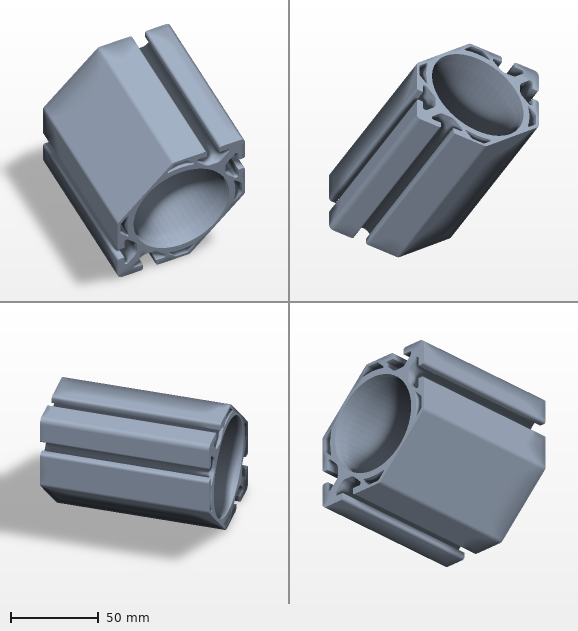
import cadquery as cq
import math

LENGTH = 100.0
SIDE = 80.0
BORE_DIAMETER = 60.0
FLAT_DISTANCE = 32.0
CORNER_RADIUS = 3.0

SLOT_OFFSET = 20.0
SIDE_SLOT_OFFSET = 20.5
SLOT_OPENING = 8.0
SLOT_INNER_WIDTH = 20.0
SLOT_FLOOR_WIDTH = 8.0
SLOT_DEPTH = 12.25
LIP_THICKNESS = 4.2
LIP_RADIUS = 1.5
SLOT_CORNER_RADIUS = 1.0
SLOT_FLOOR_RADIUS = 4.5

BORE_WALL = 3.9
OUTER_WALL = 1.8
FLAT_WALL = 2.1
WEB_DISTANCE = 29.6
CHAMBER_CORNER_RADIUS = 2.0
CHAMBER_TIP_RADIUS = 0.5

PICK_SIZE = 0.1
HALF = SIDE / 2

SLOT_PLACES = (
    (0, SLOT_OFFSET),
    (180, SLOT_OFFSET),
    (-90, -SLOT_OFFSET),
    (90, -SIDE_SLOT_OFFSET),
)


def extrude_profile(sketch):
    """Extrude a closed YZ outline over the full length, centred on X."""
    return sketch.extrude(LENGTH / 2, both=True)


def make_body():
    """Square bar with two opposite edges cut by 45 degree flats, bored through."""
    flat_end = FLAT_DISTANCE * math.sqrt(2) - HALF
    outline = [
        (HALF, HALF),
        (-flat_end, HALF),
        (-HALF, flat_end),
        (-HALF, -HALF),
        (flat_end, -HALF),
        (HALF, -flat_end),
    ]
    body = extrude_profile(cq.Workplane("YZ").polyline(outline).close())
    body = body.edges("|X").fillet(CORNER_RADIUS)
    bore = extrude_profile(cq.Workplane("YZ").circle(BORE_DIAMETER / 2))
    return body.cut(bore)


def edges_near(y, z):
    """Selector for the two X-parallel edges at (+y, z) and (-y, z)."""
    def box(side):
        lower = (-LENGTH, side * y - PICK_SIZE, z - PICK_SIZE)
        upper = (LENGTH, side * y + PICK_SIZE, z + PICK_SIZE)
        return cq.selectors.BoxSelector(lower, upper)

    return box(1) + box(-1)


def make_slot():
    """T-slot cutter centred on the +Z face, with a rounded mouth."""
    mouth = SLOT_OPENING / 2
    inner = SLOT_INNER_WIDTH / 2
    floor = SLOT_FLOOR_WIDTH / 2
    lip_z = HALF - LIP_THICKNESS
    floor_z = HALF - SLOT_DEPTH
    taper_z = floor_z + inner - floor
    mouth_z = HALF - LIP_RADIUS
    outer = mouth + LIP_RADIUS
    right = [(mouth, lip_z), (inner, lip_z), (inner, taper_z), (floor, floor_z)]
    left = [(-y, z) for y, z in reversed(right)]
    sketch = (
        cq.Workplane("YZ")
        .moveTo(outer, HALF)
        .radiusArc((mouth, mouth_z), -LIP_RADIUS)
        .polyline(right + left, includeCurrent=True)
        .lineTo(-mouth, mouth_z)
        .radiusArc((-outer, HALF), -LIP_RADIUS)
        .close()
    )
    slot = extrude_profile(sketch)
    slot = slot.edges(edges_near(inner, lip_z)).fillet(SLOT_CORNER_RADIUS)
    slot = slot.edges(edges_near(floor, floor_z)).fillet(SLOT_FLOOR_RADIUS)
    return slot


def make_chamber():
    """Hollow chamber cutter under the +Z face: trapezoid over a round bore wall."""
    top_z = HALF - OUTER_WALL
    base_z = BORE_DIAMETER / 2
    web_sum = WEB_DISTANCE * math.sqrt(2)
    flat_sum = (FLAT_DISTANCE - FLAT_WALL) * math.sqrt(2)
    outline = [
        (web_sum - top_z, top_z),
        (web_sum - base_z, base_z),
        (base_z - flat_sum, base_z),
        (top_z - flat_sum, top_z),
    ]
    trapezoid = extrude_profile(cq.Workplane("YZ").polyline(outline).close())
    bore_wall = extrude_profile(cq.Workplane("YZ").circle(BORE_DIAMETER / 2 + BORE_WALL))
    chamber = trapezoid.cut(bore_wall)
    chamber = chamber.edges("|X and >Z").fillet(CHAMBER_CORNER_RADIUS)
    tips = cq.selectors.BoxSelector((-LENGTH, -HALF, base_z), (LENGTH, HALF, base_z + BORE_WALL))
    return chamber.edges("|X").edges(tips).fillet(CHAMBER_TIP_RADIUS)


def about_axis(tool, degrees):
    """Turn a cutter about the X axis, from the +Z side to another side."""
    return tool.rotate((0, 0, 0), (1, 0, 0), degrees)


def cut_slots(body):
    """Cut one T-slot into each side, placed towards the nearest square corner."""
    slot = make_slot()
    for degrees, shift in SLOT_PLACES:
        body = body.cut(about_axis(slot.translate((0, shift, 0)), degrees))
    return body


def cut_chambers(body):
    """Cut the four chambers, mirror images about the diagonal through the square corners."""
    chamber = make_chamber()
    mirrored = chamber.mirror("XZ")
    for degrees, tool in ((0, chamber), (180, chamber), (90, mirrored), (-90, mirrored)):
        body = body.cut(about_axis(tool, degrees))
    return body


result = cut_chambers(cut_slots(make_body()))